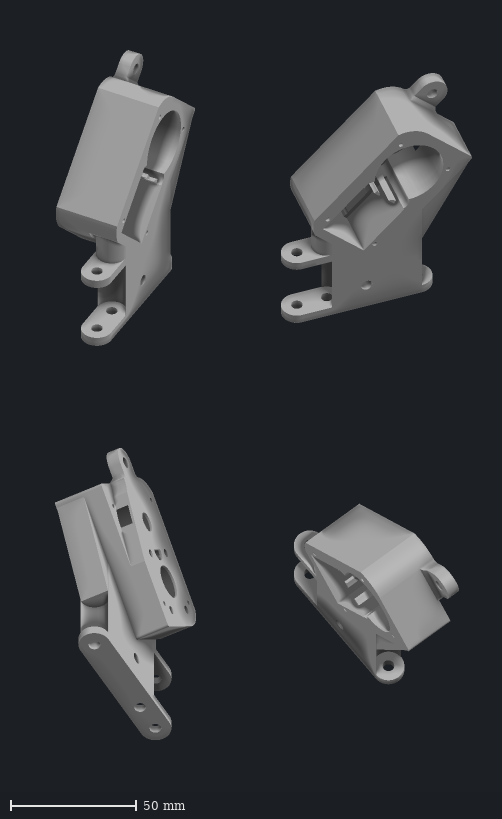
import cadquery as cq
import math


PITCH = 12.7
TAB_RADIUS = PITCH / 2
SCREW_DIA = 4.65
OVERSHOOT = 1.0
HALF_ROOT = math.sqrt(0.5)

BODY_DEPTH = 27.34
TOTAL_HEIGHT = 91.9

EAR_ALONG = -4 * PITCH
MOTOR_Z = TOTAL_HEIGHT - TAB_RADIUS + EAR_ALONG * HALF_ROOT
MID_ALONG = -PITCH
HALF_LENGTH = 2.5 * PITCH
TOP_END = MID_ALONG - HALF_LENGTH
BOTTOM_END = MID_ALONG + HALF_LENGTH
UPPER_SIDE = -18.9
LOWER_SIDE = 19.36
SHOULDER_RADIUS = PITCH
SHOULDER_ACROSS = -7.8
LOWER_CORNER_RADIUS = 1.1
REAR_TRIM_ALONG = 18.0

EAR_THICKNESS = 5.2
EAR_FILLET = 2.1
GUSSET_SIZE = 1.77

COLUMN_X = BODY_DEPTH - TAB_RADIUS
COLUMN_FACE_X = BODY_DEPTH - PITCH
COLUMN_LENGTH = 3 * PITCH
COLUMN_REAR_Y = 23.4
COLUMN_FRONT_Y = COLUMN_REAR_Y - COLUMN_LENGTH
LUG_FRONT_Y = COLUMN_FRONT_Y - PITCH
LOWER_LUG_THICKNESS = 4.0
UPPER_LUG_Z = 29.3
UPPER_LUG_THICKNESS = 3.6
GROOVE_DIA = 12.23
COLUMN_HOLE_Z = MOTOR_Z - 3 * PITCH

WEB_THICKNESS = GROOVE_DIA
WEB_TOP_Y = 43.5
WEB_TOP_Z = 65.6

RECESS_DEPTH = 6.27
RECESS_CORNER = (-38.4, 10.7)
RECESS_ARC_MIDDLE = (-40.9, 9.2)
RECESS_ARC_START = (TOP_END, 8.4)
RECESS_EDGE_END = -9.0

MOTOR_HOLE_DIA = 13.9
SHAFT_HOLE_DIA = 8.2
SHAFT_ALONG = -2 * PITCH
MOTOR_SCREW_DIA = 3.5
MOTOR_SCREW_ALONG = 12.1
MOTOR_SCREW_ACROSS = 8.8
COVER_SCREW_DIA = 2.0
COVER_SCREW_TOP = -34.7
COVER_SCREW_BOTTOM = 9.2
COVER_SCREW_ACROSS = 14.05
IDLER_RADIUS = 3.6
IDLER_FLAT = 0.97

FRONT_WALL = 1.0
MOTOR_BAY_RADIUS = 10.4
BAY_BOTTOM = 14.0
GEAR_BAY_RADIUS = 14.5
SCREW_RELIEF_DIA = 6.5
REAR_BAY_X = 7.5
REAR_BAY_HALF_WIDTH = 12.2


def housing_plane(x=0.0):
    """Workplane facing +X at the given depth, in housing coordinates."""
    return cq.Workplane(cq.Plane((x, 0, MOTOR_Z), (0, -HALF_ROOT, -HALF_ROOT), (1, 0, 0)))


def floor_plane(z=0.0):
    """Horizontal workplane at the given height."""
    return cq.Workplane("XY").workplane(offset=z)


def housing_holes(centres, diameter):
    """Round cutters through the full depth of the housing."""
    sketch = housing_plane(-OVERSHOOT).pushPoints(centres).circle(diameter / 2)
    return sketch.extrude(BODY_DEPTH + 2 * OVERSHOOT)


def housing_box(x, along_start, along_end, half_width, depth):
    """Block in housing coordinates, centred on the length axis."""
    return (
        housing_plane(x)
        .center((along_start + along_end) / 2, 0)
        .rect(along_end - along_start, 2 * half_width)
        .extrude(depth)
    )


def make_shell():
    """Housing block: arcs at the upper corners, small rounds at the lower ones."""
    side_run = math.sqrt(SHOULDER_RADIUS**2 - (SHOULDER_ACROSS - UPPER_SIDE) ** 2)
    arc_shift = SHOULDER_RADIUS * HALF_ROOT
    top_centre = TOP_END + SHOULDER_RADIUS
    bottom_centre = BOTTOM_END - SHOULDER_RADIUS
    arc_middle = SHOULDER_ACROSS - arc_shift
    shell = (
        housing_plane()
        .moveTo(TOP_END, LOWER_SIDE)
        .lineTo(TOP_END, SHOULDER_ACROSS)
        .threePointArc((top_centre - arc_shift, arc_middle), (top_centre - side_run, UPPER_SIDE))
        .lineTo(bottom_centre + side_run, UPPER_SIDE)
        .threePointArc((bottom_centre + arc_shift, arc_middle), (BOTTOM_END, SHOULDER_ACROSS))
        .lineTo(BOTTOM_END, LOWER_SIDE)
        .close()
        .extrude(BODY_DEPTH)
    )
    shell = shell.edges("|X").edges(">Y or <Z").fillet(LOWER_CORNER_RADIUS)
    rear_trim = housing_box(
        COLUMN_FACE_X, REAR_TRIM_ALONG, BOTTOM_END + OVERSHOOT, 2 * LOWER_SIDE, PITCH
    )
    return shell.cut(rear_trim)


def make_side_recess():
    """Cutter for the shallow front recess along the lower side."""
    beyond_end = TOP_END - OVERSHOOT
    beyond_side = LOWER_SIDE + OVERSHOOT
    return (
        housing_plane(-OVERSHOOT)
        .moveTo(beyond_end, RECESS_ARC_START[1])
        .lineTo(*RECESS_ARC_START)
        .threePointArc(RECESS_ARC_MIDDLE, RECESS_CORNER)
        .lineTo(RECESS_EDGE_END, LOWER_SIDE)
        .lineTo(RECESS_EDGE_END, beyond_side)
        .lineTo(beyond_end, beyond_side)
        .close()
        .extrude(RECESS_DEPTH + OVERSHOOT)
    )


def ear_outline(x):
    """Round-ended ear that flares by fillets into the top end of the housing."""
    neck = TOP_END - EAR_FILLET
    foot = TAB_RADIUS + EAR_FILLET
    root = TOP_END + EAR_FILLET
    bend = EAR_FILLET * (1 - HALF_ROOT)
    return (
        housing_plane(x)
        .moveTo(root, -foot)
        .lineTo(TOP_END, -foot)
        .threePointArc((TOP_END - bend, -TAB_RADIUS - bend), (neck, -TAB_RADIUS))
        .lineTo(EAR_ALONG, -TAB_RADIUS)
        .threePointArc((EAR_ALONG - TAB_RADIUS, 0), (EAR_ALONG, TAB_RADIUS))
        .lineTo(neck, TAB_RADIUS)
        .threePointArc((TOP_END - bend, TAB_RADIUS + bend), (TOP_END, foot))
        .lineTo(root, foot)
        .close()
    )


def make_ear():
    """Ear with a triangular gusset in the corner behind it."""
    ear = ear_outline(0).extrude(EAR_THICKNESS)
    end_height = -TOP_END
    gusset_back = EAR_THICKNESS + GUSSET_SIZE
    ramp_plane = cq.Plane((0, 0, MOTOR_Z), (1, 0, 0), (0, -HALF_ROOT, HALF_ROOT))
    ramp = (
        cq.Workplane(ramp_plane)
        .moveTo(EAR_THICKNESS, end_height)
        .lineTo(EAR_THICKNESS, end_height + GUSSET_SIZE)
        .lineTo(gusset_back, end_height)
        .close()
        .extrude(PITCH, both=True)
    )
    gusset = ear_outline(EAR_THICKNESS).extrude(GUSSET_SIZE).intersect(ramp)
    return ear.union(gusset)


def make_column():
    """Column with a round groove in each end and a boss above the upper lug."""
    column = (
        floor_plane()
        .center(COLUMN_X, (COLUMN_FRONT_Y + COLUMN_REAR_Y) / 2)
        .rect(PITCH, COLUMN_LENGTH)
        .extrude(MOTOR_Z)
    )
    grooves = (
        floor_plane(LOWER_LUG_THICKNESS)
        .pushPoints([(COLUMN_X, COLUMN_FRONT_Y), (COLUMN_X, COLUMN_REAR_Y)])
        .circle(GROOVE_DIA / 2)
        .extrude(UPPER_LUG_Z - LOWER_LUG_THICKNESS)
    )
    boss = (
        floor_plane(UPPER_LUG_Z)
        .center(COLUMN_X, COLUMN_FRONT_Y)
        .circle(TAB_RADIUS)
        .extrude(MOTOR_Z - UPPER_LUG_Z)
    )
    return column.cut(grooves).union(boss)


def make_lug(bottom_z, thickness, rear_y, hole_ys):
    """Drilled, round-ended lug between the front hole axis and a rear axis."""
    length = rear_y - LUG_FRONT_Y
    lug = (
        floor_plane(bottom_z)
        .center(COLUMN_X, LUG_FRONT_Y + length / 2)
        .slot2D(length + 2 * TAB_RADIUS, 2 * TAB_RADIUS, 90)
        .extrude(thickness)
    )
    holes = (
        floor_plane(bottom_z)
        .pushPoints([(COLUMN_X, y) for y in hole_ys])
        .circle(SCREW_DIA / 2)
        .extrude(thickness)
    )
    return lug, holes


def make_web():
    """Sloping web from the housing's rear corner down to the column."""
    return (
        cq.Workplane("YZ")
        .workplane(offset=COLUMN_X - WEB_THICKNESS / 2)
        .moveTo(WEB_TOP_Y, WEB_TOP_Z)
        .lineTo(COLUMN_REAR_Y, UPPER_LUG_Z)
        .lineTo(0, UPPER_LUG_Z)
        .lineTo(0, MOTOR_Z)
        .close()
        .extrude(WEB_THICKNESS)
    )


def make_cavity():
    """Motor bay and gear bay behind the front wall, widened towards the back."""
    depth = BODY_DEPTH - FRONT_WALL
    rear_depth = BODY_DEPTH - REAR_BAY_X
    motor_bay = housing_plane(FRONT_WALL).circle(MOTOR_BAY_RADIUS).extrude(depth)
    motor_end = housing_box(FRONT_WALL, 0, BAY_BOTTOM, MOTOR_BAY_RADIUS, depth)
    gear_bay = housing_plane(FRONT_WALL).center(SHAFT_ALONG, 0).circle(GEAR_BAY_RADIUS).extrude(depth)
    rear_bay = housing_box(REAR_BAY_X, -MOTOR_BAY_RADIUS, BAY_BOTTOM, REAR_BAY_HALF_WIDTH, rear_depth)
    reliefs = (
        housing_plane(FRONT_WALL)
        .pushPoints([(-MOTOR_SCREW_ALONG, side * MOTOR_SCREW_ACROSS) for side in (-1, 1)])
        .circle(SCREW_RELIEF_DIA / 2)
        .extrude(depth)
    )
    return motor_bay.union(motor_end).union(gear_bay).union(rear_bay).union(reliefs)


def make_idler_hole():
    """D-shaped cutter with its flat towards the ear."""
    hole = housing_holes([(MID_ALONG, 0)], 2 * IDLER_RADIUS)
    flat = housing_box(
        -OVERSHOOT,
        MID_ALONG - 2 * IDLER_RADIUS,
        MID_ALONG - IDLER_FLAT,
        2 * IDLER_RADIUS,
        BODY_DEPTH + 2 * OVERSHOOT,
    )
    return hole.cut(flat)


def drill_housing(body):
    """Cut every hole that runs along X."""
    motor_screws = [
        (along, across)
        for along in (-MOTOR_SCREW_ALONG, MOTOR_SCREW_ALONG)
        for across in (-MOTOR_SCREW_ACROSS, MOTOR_SCREW_ACROSS)
    ]
    cover_screws = [
        (along, across)
        for along in (COVER_SCREW_TOP, COVER_SCREW_BOTTOM)
        for across in (-COVER_SCREW_ACROSS, COVER_SCREW_ACROSS)
    ]
    column_hole = (
        cq.Workplane("YZ").center(0, COLUMN_HOLE_Z).circle(SCREW_DIA / 2).extrude(BODY_DEPTH + OVERSHOOT)
    )
    body = body.cut(housing_holes([(0, 0)], MOTOR_HOLE_DIA))
    body = body.cut(housing_holes([(SHAFT_ALONG, 0)], SHAFT_HOLE_DIA))
    body = body.cut(housing_holes([(EAR_ALONG, 0)], SCREW_DIA))
    body = body.cut(housing_holes(motor_screws, MOTOR_SCREW_DIA))
    body = body.cut(housing_holes(cover_screws, COVER_SCREW_DIA))
    return body.cut(make_idler_hole()).cut(column_hole)


lower_lug, lower_lug_holes = make_lug(
    0, LOWER_LUG_THICKNESS, COLUMN_REAR_Y, (LUG_FRONT_Y, COLUMN_FRONT_Y, COLUMN_REAR_Y)
)
upper_lug, upper_lug_hole = make_lug(
    UPPER_LUG_Z, UPPER_LUG_THICKNESS, COLUMN_FRONT_Y, (LUG_FRONT_Y,)
)

body = make_shell().cut(make_side_recess()).union(make_ear())
body = body.union(make_column()).union(make_web())
body = body.union(lower_lug).union(upper_lug)
body = body.cut(make_cavity()).cut(lower_lug_holes).cut(upper_lug_hole)
result = drill_housing(body)